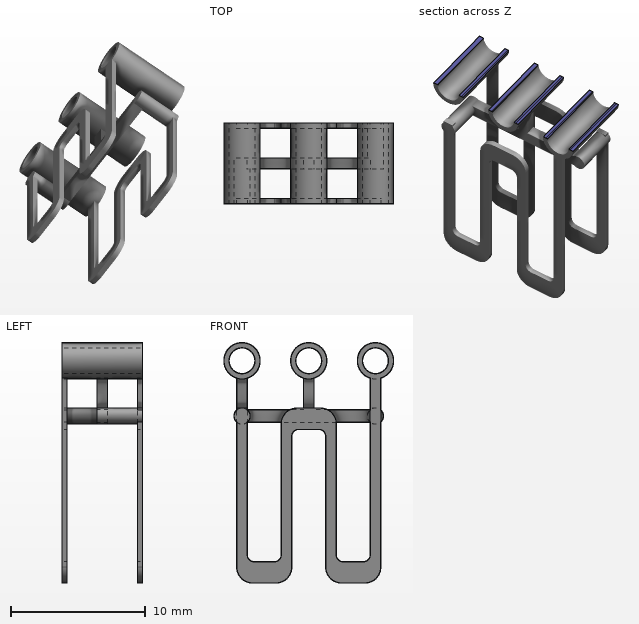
import cadquery as cq

tube_outer_diameter = 2.7
tube_bore_diameter = 1.9
tube_length = 6.0
tube_pitch = 4.95

spring_thickness = 0.4
wire_width = 0.8
bend_depth = 1.6
bend_outer_radius = 1.2
bend_inner_radius = 0.5
spring_top = -3.5
spring_bottom = -16.5
leg_pitch = 2 * tube_pitch / 3
outer_leg_x = tube_pitch
spring_middle = (spring_top + spring_bottom) / 2

pin_diameter = 1.2
bar_height = 0.95
bar_depth = 0.8
pin_z = spring_top - pin_diameter / 2

front_y = -tube_length / 2
rear_y = tube_length / 2


def box_between(x_range, y_range, z_range):
    """Axis-aligned box between the given limits."""
    (x0, x1), (y0, y1), (z0, z1) = x_range, y_range, z_range
    corner = cq.Workplane("XY", origin=(x0, y0, z0))
    return corner.box(x1 - x0, y1 - y0, z1 - z0, centered=False)


def cylinder_along_y(x, z, diameter, y_start, y_end):
    """Cylinder parallel to Y between two Y positions."""
    profile = cq.Workplane("XZ", origin=(x, y_start, z)).circle(diameter / 2)
    return profile.extrude(y_start - y_end)


def front_plate(x_centre, width, z_low, z_high):
    """Upright rectangle with the thickness of the front spring."""
    x_range = (x_centre - width / 2, x_centre + width / 2)
    return box_between(x_range, (front_y, front_y + spring_thickness), (z_low, z_high))


def spring_bend(x_centre, direction):
    """U-shaped half of a rounded loop; direction is +1 for an upper bend, -1 for a lower one."""
    outer_end = spring_top if direction > 0 else spring_bottom
    inner_end = outer_end - direction * bend_depth
    end_face = ">Z" if direction > 0 else "<Z"
    outer = front_plate(x_centre, leg_pitch + wire_width, *sorted((spring_middle, outer_end)))
    inner = front_plate(x_centre, leg_pitch - wire_width, *sorted((spring_middle, inner_end)))
    outer = outer.faces(end_face).edges("|Y").fillet(bend_outer_radius)
    inner = inner.faces(end_face).edges("|Y").fillet(bend_inner_radius)
    return outer.cut(inner)


def make_front_spring():
    """Serpentine from the pin on the left, over the arch, up to the tube on the right."""
    spring = spring_bend(0, 1)
    for side in (-1, 1):
        spring = spring.union(spring_bend(side * leg_pitch, -1))
    spring = spring.union(front_plate(-outer_leg_x, wire_width, spring_middle, spring_top))
    return spring.union(front_plate(outer_leg_x, wire_width, spring_middle, 0))


def make_front_pin():
    """Pin joining the free leg of the front spring to the cross bar."""
    return cylinder_along_y(-outer_leg_x, pin_z, pin_diameter, front_y, bar_depth / 2)


def make_cross_bar():
    """Bar between the two pins, with the post that carries the centre tube."""
    depth_range = (-bar_depth / 2, bar_depth / 2)
    bar = box_between(
        (-outer_leg_x, outer_leg_x),
        depth_range,
        (pin_z - bar_height / 2, pin_z + bar_height / 2),
    )
    post = box_between((-wire_width / 2, wire_width / 2), depth_range, (pin_z, 0))
    return bar.union(post)


def turned_half(shape):
    """Copy turned half a revolution about Z, for the rear of the part."""
    return shape.rotate((0, 0, 0), (0, 0, 1), 180)


tube_axes_x = [index * tube_pitch for index in (-1, 0, 1)]
front_half = make_front_spring().union(make_front_pin())
result = make_cross_bar().union(front_half).union(turned_half(front_half))

for tube_x in tube_axes_x:
    result = result.union(cylinder_along_y(tube_x, 0, tube_outer_diameter, front_y, rear_y))
for tube_x in tube_axes_x:
    result = result.cut(cylinder_along_y(tube_x, 0, tube_bore_diameter, front_y, rear_y))